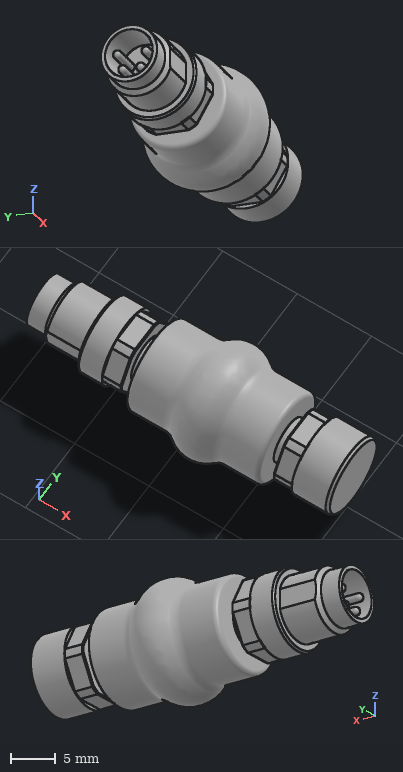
import cadquery as cq
import math


nose_end = 2.5
nose_cone_end = 3.05
left_collar_start = 7.85
left_collar_end = 11.18
left_hex_end = 13.7
body_start = 14.95
body_end = 32.9
right_hex_start = 34.2
right_hex_end = 36.7
total_length = 41.7

nose_diameter = 6.8
nose_bore_diameter = 5.7
plug_diameter = 8.0
collar_diameter = 10.0
neck_diameter = 5.8
body_diameter = 12.0
bulge_diameter = 14.9

plug_flat_width = 7.65
nose_bore_depth = 5.0
pin_diameter = 1.0
pin_tip_x = 0.4
pin_positions = [(1.7, 0.38), (-1.7, 0.38), (1.1, -1.5), (-1.1, -1.5)]

hex_across_flats = 9.0
hex_corner_diameter = 9.8
hex_chamfer = 0.13

collar_chamfer_depth = 0.25
left_collar_chamfer_length = 0.25
right_collar_chamfer_length = 0.4
body_fillet = 0.63

bulge_span = 7.7
bulge_blend_radius = 1.9


def cylinder_x(start, end, diameter):
    return cq.Workplane("YZ").workplane(offset=start).circle(diameter / 2).extrude(end - start)


def revolve_x(profile):
    return profile.close().revolve(360, (0, 0, 0), (1, 0, 0))


def make_plug():
    nose_radius = nose_diameter / 2
    plug_radius = plug_diameter / 2
    turned = revolve_x(
        cq.Workplane("XY")
        .lineTo(0, nose_radius)
        .lineTo(nose_end, nose_radius)
        .lineTo(nose_cone_end, plug_radius)
        .lineTo(left_collar_start, plug_radius)
        .lineTo(left_collar_start, 0)
    )
    flats = cq.Workplane("XY").box(
        left_collar_start, plug_flat_width, plug_diameter, centered=(False, True, True)
    )
    return turned.intersect(flats).cut(cylinder_x(0, nose_bore_depth, nose_bore_diameter))


def make_pin(y, z):
    """Round pin with a hemispherical tip, standing on the floor of the nose bore."""
    pin_radius = pin_diameter / 2
    dome_center = pin_tip_x + pin_radius
    dome_mid_x = dome_center - pin_radius * math.cos(math.pi / 4)
    dome_mid_radius = pin_radius * math.sin(math.pi / 4)
    pin = revolve_x(
        cq.Workplane("XY")
        .moveTo(pin_tip_x, 0)
        .threePointArc((dome_mid_x, dome_mid_radius), (dome_center, pin_radius))
        .lineTo(nose_bore_depth, pin_radius)
        .lineTo(nose_bore_depth, 0)
    )
    return pin.translate((0, y, z))


def make_collar(start, end, start_chamfer=0, end_chamfer=0):
    """Ring with a shallow conical edge of the given length at either end."""
    radius = collar_diameter / 2
    edge_radius = radius - collar_chamfer_depth
    profile = cq.Workplane("XY").moveTo(start, 0)
    if start_chamfer:
        profile = profile.lineTo(start, edge_radius)
    profile = profile.lineTo(start + start_chamfer, radius).lineTo(end - end_chamfer, radius)
    if end_chamfer:
        profile = profile.lineTo(end, edge_radius)
    return revolve_x(profile.lineTo(end, 0))


def make_hex(start, end, chamfered_side):
    """Hexagon with flats facing +Z and -Z; chamfered_side selects the end facing the body."""
    corner_to_corner = hex_across_flats / math.cos(math.pi / 6)
    prism = cq.Workplane("YZ").workplane(offset=start).polygon(6, corner_to_corner).extrude(end - start)
    rounding = cylinder_x(start, end, hex_corner_diameter)
    return prism.intersect(rounding).faces(chamfered_side).chamfer(hex_chamfer)


def make_bulge():
    """Ring whose profile is a crown arc tangent to a concave blend arc on each side."""
    center_x = (body_start + body_end) / 2
    half_span = bulge_span / 2
    body_radius = body_diameter / 2
    peak = bulge_diameter / 2
    rise = peak - body_radius

    radius_sum = (half_span**2 + rise**2) / (2 * rise)
    crown_radius = radius_sum - bulge_blend_radius
    slope = math.asin(half_span / radius_sum)
    joint_offset = crown_radius * math.sin(slope)
    joint_radius = peak - crown_radius * (1 - math.cos(slope))

    blend_mid_offset = half_span - bulge_blend_radius * math.sin(slope / 2)
    blend_mid_radius = body_radius + bulge_blend_radius * (1 - math.cos(slope / 2))
    return revolve_x(
        cq.Workplane("XY")
        .moveTo(center_x - half_span, 0)
        .lineTo(center_x - half_span, body_radius)
        .threePointArc(
            (center_x - blend_mid_offset, blend_mid_radius), (center_x - joint_offset, joint_radius)
        )
        .threePointArc((center_x, peak), (center_x + joint_offset, joint_radius))
        .threePointArc(
            (center_x + blend_mid_offset, blend_mid_radius), (center_x + half_span, body_radius)
        )
        .lineTo(center_x + half_span, 0)
    )


def make_body():
    barrel = cylinder_x(body_start, body_end, body_diameter).edges().fillet(body_fillet)
    return barrel.union(make_bulge())


result = make_plug()
for pin_y, pin_z in pin_positions:
    result = result.union(make_pin(pin_y, pin_z))
result = (
    result
    .union(make_collar(left_collar_start, left_collar_end, start_chamfer=left_collar_chamfer_length))
    .union(make_hex(left_collar_end, left_hex_end, ">X"))
    .union(cylinder_x(left_hex_end, body_start, neck_diameter))
    .union(make_body())
    .union(cylinder_x(body_end, right_hex_start, neck_diameter))
    .union(make_hex(right_hex_start, right_hex_end, "<X"))
    .union(make_collar(right_hex_end, total_length, end_chamfer=right_collar_chamfer_length))
)